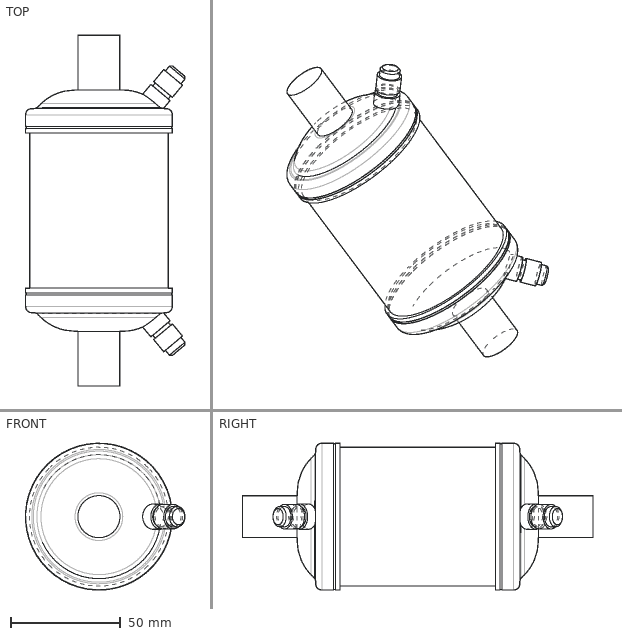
import cadquery as cq
import math

HALF_LENGTH = 80.0
PIPE_RADIUS = 9.6
SHELL_RADIUS = 31.7

CAP_RADIUS = 33.52
CAP_INNER_END = 35.4
CAP_OUTER_END = 46.5
CAP_ROUND = 2.9
GROOVE_START = 37.5
GROOVE_WIDTH = 1.0
GROOVE_DEPTH = 0.24

DOME_END = 55.0
CROWN_RADIUS = 10.9
SHOULDER_RADIUS = 22.4
SHOULDER_ANGLE = math.radians(44)
CONE_LENGTH = 2.5
BLEND_END_RADIUS = 30.0

VALVE_ANGLE = math.radians(50)
VALVE_TIP_X = 36.3
VALVE_TIP_Y = 63.7
VALVE_LENGTH = 19.7
COLLAR_RADIUS = 5.8
NECK_RADIUS = 4.6
BODY_RADIUS = 5.6
TIP_CHAMFER = 1.0

COLLAR_DEPTH = 12.8
BODY_END_DEPTH = 11.0
BODY_START_DEPTH = 3.8


def make_half_body():
    """Revolve the +Y half of the shell, cap, dome and pipe."""
    groove_end = GROOVE_START + GROOVE_WIDTH
    groove_radius = CAP_RADIUS - GROOVE_DEPTH
    arc_center_y = DOME_END - SHOULDER_RADIUS

    def shoulder_point(angle):
        return (
            CROWN_RADIUS + SHOULDER_RADIUS * math.sin(angle),
            arc_center_y + SHOULDER_RADIUS * math.cos(angle),
        )

    shoulder_end = shoulder_point(SHOULDER_ANGLE)
    cone_end = (
        shoulder_end[0] + CONE_LENGTH * math.cos(SHOULDER_ANGLE),
        shoulder_end[1] - CONE_LENGTH * math.sin(SHOULDER_ANGLE),
    )
    round_middle = CAP_ROUND * (1 - math.sqrt(0.5))

    profile = (
        cq.Workplane("XY")
        .lineTo(SHELL_RADIUS, 0)
        .lineTo(SHELL_RADIUS, CAP_INNER_END)
        .lineTo(CAP_RADIUS, CAP_INNER_END)
        .lineTo(CAP_RADIUS, GROOVE_START)
        .lineTo(groove_radius, GROOVE_START)
        .lineTo(groove_radius, groove_end)
        .lineTo(CAP_RADIUS, groove_end)
        .lineTo(CAP_RADIUS, CAP_OUTER_END - CAP_ROUND)
        .threePointArc(
            (CAP_RADIUS - round_middle, CAP_OUTER_END - round_middle),
            (CAP_RADIUS - CAP_ROUND, CAP_OUTER_END),
        )
        .lineTo(BLEND_END_RADIUS, CAP_OUTER_END)
        .tangentArcPoint(cone_end, relative=False)
        .lineTo(*shoulder_end)
        .threePointArc(shoulder_point(SHOULDER_ANGLE / 2), (CROWN_RADIUS, DOME_END))
        .lineTo(PIPE_RADIUS, DOME_END)
        .lineTo(PIPE_RADIUS, HALF_LENGTH)
        .lineTo(0, HALF_LENGTH)
        .close()
    )
    return profile.revolve(360, (0, 0, 0), (0, 1, 0))


def make_valve():
    """Build the stepped access valve, from its chamfered tip down into the dome."""
    axis = cq.Vector(math.cos(VALVE_ANGLE), math.sin(VALVE_ANGLE), 0)
    tip_plane = cq.Plane(
        origin=(VALVE_TIP_X, VALVE_TIP_Y, 0), xDir=(0, 0, 1), normal=axis
    )

    def step(radius, start_depth, end_depth):
        return (
            cq.Workplane(tip_plane)
            .workplane(offset=-end_depth)
            .circle(radius)
            .extrude(end_depth - start_depth)
        )

    stem = step(NECK_RADIUS, 0, VALVE_LENGTH)
    stem = stem.faces(cq.selectors.DirectionMinMaxSelector(axis)).chamfer(TIP_CHAMFER)
    body = step(BODY_RADIUS, BODY_START_DEPTH, BODY_END_DEPTH)
    collar = step(COLLAR_RADIUS, COLLAR_DEPTH, VALVE_LENGTH)
    return stem.union(body).union(collar)


half = make_half_body().union(make_valve())
other_half = half.rotate((0, 0, 0), (1, 0, 0), 180)
result = half.union(other_half).clean()